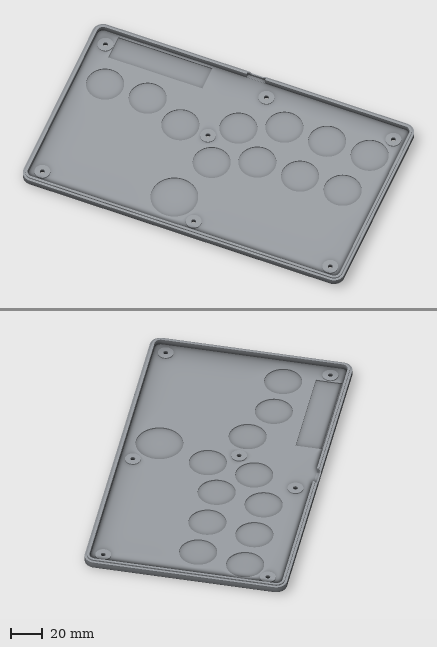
import cadquery as cq

LENGTH = 218.0
WIDTH = 130.1
HEIGHT = 5.7
CORNER_RADIUS = 7.0
BASE_FILLET = 1.0
FLOOR_HEIGHT = 1.9

SHOULDER_WIDTH = 1.5
LIP_WIDTH = 1.5
SHOULDER_DROP = 1.0
RIM_WIDTH = SHOULDER_WIDTH + LIP_WIDTH

BOSS_DIAMETER = 10.0
BOSS_HEIGHT = 0.76
SCREW_HOLE_DIAMETER = 3.0
CORNER_SCREW_X = 97.9
BACK_SCREW_Y = 51.9
FRONT_SCREW_Y = -54.0
SCREW_CENTERS = [
    (-CORNER_SCREW_X, BACK_SCREW_Y),
    (11.5, BACK_SCREW_Y),
    (CORNER_SCREW_X, BACK_SCREW_Y),
    (-11.5, 11.0),
    (-CORNER_SCREW_X, FRONT_SCREW_Y),
    (5.0, FRONT_SCREW_Y),
    (CORNER_SCREW_X, FRONT_SCREW_Y),
]

RECESS_DEPTH = 0.9
BUTTON_DIAMETER = 24.0
BUTTON_PITCH = 29.0
BUTTON_ROWS = [
    ((-86.8, 23.8), 2),
    ((-31.0, 12.5), 1),
    ((4.0, 23.8), 1),
    ((-1.7, -7.2), 1),
    ((30.5, 35.3), 3),
    ((24.9, 4.0), 3),
]
LARGE_BUTTON_DIAMETER = 30.0
LARGE_BUTTON_CENTER = (-13.5, -40.8)
PANEL_LENGTH = 63.9
PANEL_WIDTH = 16.8
PANEL_CENTER = (-60.5, 52.0)

CABLE_X = 0.2
NOTCH_WIDTH = 12.5
NOTCH_FLOOR = 2.2
NOTCH_WALL = 0.9
PORT_WIDTH = 11.0
PORT_HEIGHT = 4.5
PORT_BOTTOM = 3.7


def rounded_plate(inset, bottom, top):
    """Rounded rectangle following the outline at a given inset, between two heights."""
    return (
        cq.Workplane("XY", origin=(0, 0, bottom))
        .rect(LENGTH - 2 * inset, WIDTH - 2 * inset)
        .extrude(top - bottom)
        .edges("|Z")
        .fillet(CORNER_RADIUS - inset)
    )


def cylinders(centers, diameter, bottom, top):
    """Upright cylinders at the given centers, between two heights."""
    return (
        cq.Workplane("XY", origin=(0, 0, bottom))
        .pushPoints(centers)
        .circle(diameter / 2)
        .extrude(top - bottom)
    )


def tray_shell():
    """Open tray with a rounded base edge and a stepped rim."""
    base = rounded_plate(0, 0, HEIGHT - SHOULDER_DROP).faces("<Z").edges().fillet(BASE_FILLET)
    lip = rounded_plate(SHOULDER_WIDTH, FLOOR_HEIGHT, HEIGHT)
    cavity = rounded_plate(RIM_WIDTH, FLOOR_HEIGHT, HEIGHT)
    return base.union(lip).cut(cavity)


def floor_recesses():
    """Shallow cutters for the buttons and the rectangular panel."""
    bottom = FLOOR_HEIGHT - RECESS_DEPTH
    button_centers = [
        (x + BUTTON_PITCH * index, y)
        for (x, y), count in BUTTON_ROWS
        for index in range(count)
    ]
    buttons = cylinders(button_centers, BUTTON_DIAMETER, bottom, FLOOR_HEIGHT)
    large_button = cylinders([LARGE_BUTTON_CENTER], LARGE_BUTTON_DIAMETER, bottom, FLOOR_HEIGHT)
    panel = (
        cq.Workplane("XY", origin=(*PANEL_CENTER, bottom))
        .rect(PANEL_LENGTH, PANEL_WIDTH)
        .extrude(RECESS_DEPTH)
    )
    return buttons.union(large_button).union(panel)


def cable_opening():
    """Cutter for the notch behind the back wall and the port through it."""
    notch_depth = RIM_WIDTH - NOTCH_WALL
    notch_y = WIDTH / 2 - NOTCH_WALL - notch_depth / 2
    notch = (
        cq.Workplane("XY", origin=(CABLE_X, notch_y, NOTCH_FLOOR))
        .rect(NOTCH_WIDTH, notch_depth)
        .extrude(HEIGHT - NOTCH_FLOOR)
    )
    port = (
        cq.Workplane("XZ", origin=(CABLE_X, WIDTH / 2, PORT_BOTTOM + PORT_HEIGHT / 2))
        .slot2D(PORT_WIDTH, PORT_HEIGHT)
        .extrude(RIM_WIDTH)
    )
    return notch.union(port)


boss_top = FLOOR_HEIGHT + BOSS_HEIGHT
bosses = cylinders(SCREW_CENTERS, BOSS_DIAMETER, FLOOR_HEIGHT - RECESS_DEPTH, boss_top)
screw_holes = cylinders(SCREW_CENTERS, SCREW_HOLE_DIAMETER, 0, boss_top)

result = (
    tray_shell()
    .cut(floor_recesses())
    .cut(cable_opening())
    .union(bosses)
    .cut(screw_holes)
)